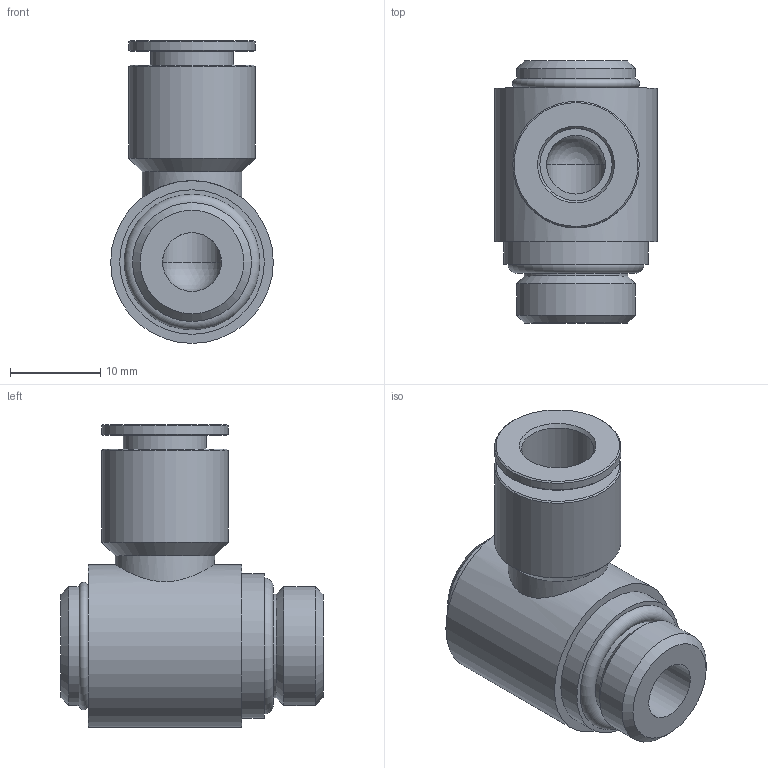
import cadquery as cq
import math

body_diameter = 18.0
body_length = 17.0
body_end = body_length / 2

thread_diameter = 13.16
thread_root_diameter = 11.45
thread_chamfer = (thread_diameter - thread_root_diameter) / 2

collar_diameter = 16.0
collar_length = 2.5
collar_end = body_end + collar_length
front_seal_section = 1.9
front_seal_reach = 1.0
front_seal_offset = collar_end + front_seal_reach - front_seal_section / 2
front_end = 17.5
neck_end = 12.3

rear_end = 11.5
rear_seal_section = 1.0
rear_seal_offset = body_end + rear_seal_section / 2

seal_ring_diameter = 13.1

stem_neck_diameter = 11.0
sleeve_diameter = 14.0
cone_bottom = 10.0
sleeve_bottom = cone_bottom + (sleeve_diameter - stem_neck_diameter) / 2
sleeve_top = 21.8
release_neck_diameter = 9.2
release_flange_thickness = 1.2
stem_top = 24.5
rim_chamfer = 0.15

bore_diameter = 6.5
tube_diameter = 8.0
tube_seat = sleeve_bottom
lead_in_width = 0.25
lead_in_angle = 60.0
lead_in_depth = lead_in_width * math.tan(math.radians(lead_in_angle))


def cylinder_along_y(diameter, start, end):
    """Cylinder on the Y axis from y = start to y = end."""
    return cq.Workplane("XZ", origin=(0, start, 0)).circle(diameter / 2).extrude(start - end)


def cylinder_along_z(diameter, start, end):
    """Cylinder on the Z axis from z = start to z = end."""
    return cq.Workplane("XY", origin=(0, 0, start)).circle(diameter / 2).extrude(end - start)


def seal_ring(section_diameter, y):
    """O-ring around the Y axis with its centre plane at the given y."""
    section = cq.Workplane("XY").center(-seal_ring_diameter / 2, y).circle(section_diameter / 2)
    axis_start = (seal_ring_diameter / 2, 0)
    axis_end = (seal_ring_diameter / 2, 1)
    return section.revolve(360, axis_start, axis_end)


def make_body():
    return cylinder_along_y(body_diameter, -body_end, body_end)


def make_front_end():
    collar = cylinder_along_y(collar_diameter, -collar_end, -body_end)
    neck = cylinder_along_y(thread_root_diameter, -neck_end, -collar_end)
    thread = cylinder_along_y(thread_diameter, -front_end, -neck_end).edges().chamfer(thread_chamfer)
    ring = seal_ring(front_seal_section, -front_seal_offset)
    return collar.union(neck).union(thread).union(ring)


def make_rear_end():
    plug = cylinder_along_y(thread_diameter, body_end, rear_end)
    plug = plug.faces(">Y").chamfer(thread_chamfer)
    return plug.union(seal_ring(rear_seal_section, rear_seal_offset))


def make_stem():
    neck = cylinder_along_z(stem_neck_diameter, 0, cone_bottom)
    sleeve = cylinder_along_z(sleeve_diameter, cone_bottom, sleeve_top)
    sleeve = sleeve.faces("<Z").chamfer(sleeve_bottom - cone_bottom)
    sleeve = sleeve.faces(">Z").chamfer(rim_chamfer)
    release_neck = cylinder_along_z(release_neck_diameter, sleeve_top, stem_top)
    flange = cylinder_along_z(sleeve_diameter, stem_top - release_flange_thickness, stem_top)
    flange = flange.edges().chamfer(rim_chamfer)
    return neck.union(sleeve).union(release_neck).union(flange)


def make_passages():
    """Elbow passage with a spherical corner, opening into the tube socket."""
    horizontal_bore = cylinder_along_y(bore_diameter, -front_end, 0)
    vertical_bore = cylinder_along_z(bore_diameter, 0, tube_seat)
    corner = cq.Workplane("XY").sphere(bore_diameter / 2)
    socket = cylinder_along_z(tube_diameter, tube_seat, stem_top)
    lead_in = cq.Workplane(
        obj=cq.Solid.makeCone(
            tube_diameter / 2,
            tube_diameter / 2 + lead_in_width,
            lead_in_depth,
            cq.Vector(0, 0, stem_top - lead_in_depth),
        )
    )
    return horizontal_bore.union(vertical_bore).union(corner).union(socket).union(lead_in)


result = make_body().union(make_front_end()).union(make_rear_end()).union(make_stem())
result = result.cut(make_passages())